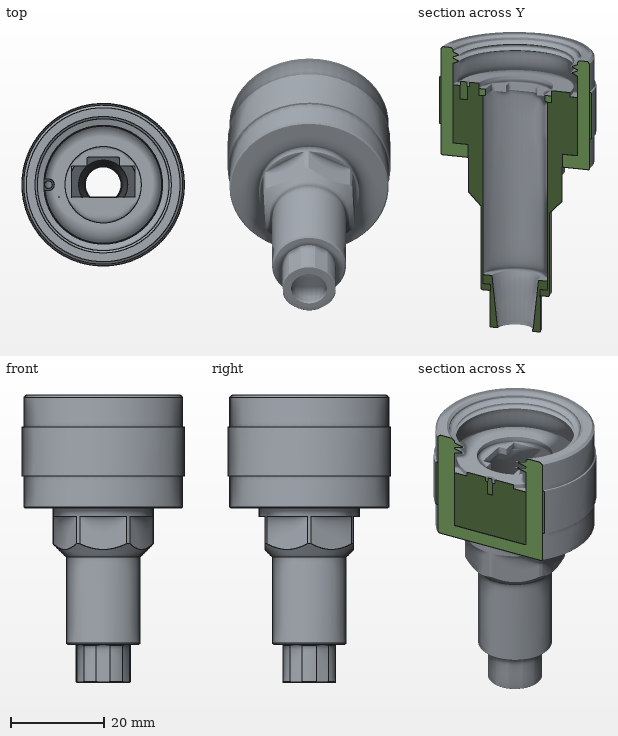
import cadquery as cq
import math

total_height = 61.72
nut_length = 24.3
ferrule_exposed = 8.15
nut_bottom = total_height - nut_length

nut_radius = 17.08
nut_top_chamfer = 0.55
nut_bottom_chamfer = 0.3
nut_bore_radius = 14.15
nut_end_wall = 3.0
mouth_chamfer = 0.5
ridge_radius = 12.76
ridge_flank = 0.6
ridge_edge_depths = (1.56, 2.96)

band_radius = 34.92 / 2
band_height = 10.5
band_bottom = nut_bottom + 6.9

disc_radius = 12.57
disc_top = total_height - 7.35
disc_step = 0.95
collar_radius = 10.77
hex_across_flats = 19.06
hex_top = nut_bottom - 1.8
barrel_radius = 7.94
barrel_top = 26.95
barrel_chamfer = 0.35
chamber_radius = 7.35
barrel_end_wall = 1.5

insert_radius = 8.2
insert_thickness = 1.5
insert_top = disc_top - 1.2
insert_bottom = insert_top - insert_thickness
port_width = 13.57
port_bottom = -2.67
port_shoulder = 4.0
tab_width = 7.05
tab_top = 5.9
port_corner_radius = 0.2
tab_corner_radius = 0.4

key_x = -11.75
notch_radius = 1.25
pin_radius = 0.82
pin_depth = 3.0

ferrule_radius = 5.84
ferrule_across_flats = 11.28
ferrule_chamfer = 0.2
neck_radius = ferrule_radius - ferrule_chamfer
head_height = 2.0
cable_entry_radius = 3.85
taper_top_radius = 5.28
taper_bottom_radius = 4.05
entry_lip_height = 0.5


def cylinder(radius, bottom, top):
    return cq.Workplane("XY").workplane(offset=bottom).circle(radius).extrude(top - bottom)


def hex_prism(across_flats, bottom, top):
    """Hexagonal prism with flats facing +Y and -Y."""
    corner_diameter = across_flats / math.cos(math.pi / 6)
    return cq.Workplane("XY").workplane(offset=bottom).polygon(6, corner_diameter).extrude(top - bottom)


def revolve_profile(points):
    """Turn a closed (radius, z) outline around the Z axis."""
    return cq.Workplane("XZ").polyline(points).close().revolve(360, (0, 0), (0, 1))


def make_coupling_nut():
    nut = cylinder(nut_radius, nut_bottom, total_height)
    nut = nut.faces(">Z").edges().chamfer(nut_top_chamfer)
    nut = nut.faces("<Z").edges().chamfer(nut_bottom_chamfer)
    bore = [(0, nut_bottom + nut_end_wall), (nut_bore_radius, nut_bottom + nut_end_wall)]
    for depth in reversed(ridge_edge_depths):
        edge_z = total_height - depth
        bore += [
            (nut_bore_radius, edge_z - ridge_flank),
            (ridge_radius, edge_z),
            (nut_bore_radius, edge_z + ridge_flank),
        ]
    bore += [
        (nut_bore_radius, total_height - mouth_chamfer),
        (nut_bore_radius + mouth_chamfer, total_height),
        (0, total_height),
    ]
    nut = nut.cut(revolve_profile(bore))
    return nut.cut(cylinder(collar_radius, nut_bottom, nut_bottom + nut_end_wall))


def make_grip_band():
    band_top = band_bottom + band_height
    return cylinder(band_radius, band_bottom, band_top).cut(cylinder(nut_radius, band_bottom, band_top))


def make_plug_blank():
    """Turned outline of the plug, from the barrel end up to the raised disc."""
    flange_bottom = nut_bottom + nut_end_wall
    flange_top = disc_top - disc_step
    cone_top = barrel_top + collar_radius - barrel_radius
    return revolve_profile([
        (0, ferrule_exposed),
        (barrel_radius - barrel_chamfer, ferrule_exposed),
        (barrel_radius, ferrule_exposed + barrel_chamfer),
        (barrel_radius, barrel_top),
        (collar_radius, cone_top),
        (collar_radius, flange_bottom),
        (nut_bore_radius, flange_bottom),
        (nut_bore_radius, flange_top),
        (disc_radius, flange_top),
        (disc_radius, disc_top),
        (0, disc_top),
    ])


def make_wrench_trim():
    """Material outside the wrench hexagon, to be cut from the collar and cone."""
    trim = cylinder(nut_bore_radius, barrel_top, hex_top)
    return trim.cut(hex_prism(hex_across_flats, barrel_top, hex_top))


def make_key_notch():
    """U-shaped notch open through the rim of the disc."""
    floor_z = disc_top - disc_step
    rim_reach = disc_radius + notch_radius + key_x
    slot = (
        cq.Workplane("XY").workplane(offset=floor_z)
        .center(key_x - rim_reach / 2, 0)
        .rect(rim_reach, 2 * notch_radius).extrude(disc_step)
    )
    return slot.union(cylinder(notch_radius, floor_z, disc_top).translate((key_x, 0, 0)))


def make_plug_body():
    body = make_plug_blank().cut(make_wrench_trim())
    body = body.cut(cylinder(insert_radius, insert_bottom, disc_top))
    body = body.cut(cylinder(chamber_radius, ferrule_exposed + barrel_end_wall, insert_bottom))
    body = body.cut(cylinder(neck_radius, ferrule_exposed, ferrule_exposed + barrel_end_wall))
    body = body.cut(make_key_notch())
    return body.cut(make_key_pin())


def make_port_insert():
    """Disc with a stepped rectangular connector opening."""
    opening = (
        cq.Workplane("XY").workplane(offset=insert_bottom)
        .moveTo(-port_width / 2, port_bottom)
        .lineTo(port_width / 2, port_bottom)
        .lineTo(port_width / 2, port_shoulder)
        .lineTo(tab_width / 2, port_shoulder)
        .lineTo(tab_width / 2, tab_top)
        .lineTo(-tab_width / 2, tab_top)
        .lineTo(-tab_width / 2, port_shoulder)
        .lineTo(-port_width / 2, port_shoulder)
        .close().extrude(insert_thickness)
    )
    opening = opening.edges("|Z and >Y").fillet(tab_corner_radius)
    opening = opening.edges("|Z and (<X or >X)").fillet(port_corner_radius)
    return cylinder(insert_radius, insert_bottom, insert_top).cut(opening)


def make_key_pin():
    notch_floor = disc_top - disc_step
    return cylinder(pin_radius, notch_floor - pin_depth, disc_top).translate((key_x, 0, 0))


def make_ferrule():
    """Crimped sleeve whose head is held inside the barrel."""
    head_bottom = ferrule_exposed + barrel_end_wall
    head_top = head_bottom + head_height
    crimp = cylinder(ferrule_radius, 0, ferrule_exposed).edges().chamfer(ferrule_chamfer)
    crimp = crimp.intersect(hex_prism(ferrule_across_flats, 0, ferrule_exposed))
    ferrule = crimp.union(cylinder(neck_radius, ferrule_exposed, head_bottom))
    ferrule = ferrule.union(cylinder(chamber_radius, head_bottom, head_top))
    return ferrule.cut(revolve_profile([
        (0, 0),
        (cable_entry_radius, 0),
        (cable_entry_radius, entry_lip_height),
        (taper_bottom_radius, entry_lip_height),
        (taper_top_radius, head_top),
        (0, head_top),
    ]))


coupling_nut = make_coupling_nut()
grip_band = make_grip_band()
plug_body = make_plug_body()
port_insert = make_port_insert()
key_pin = make_key_pin()
ferrule = make_ferrule()

result = cq.Compound.makeCompound([
    coupling_nut.val(),
    grip_band.val(),
    plug_body.val(),
    port_insert.val(),
    key_pin.val(),
    ferrule.val(),
])